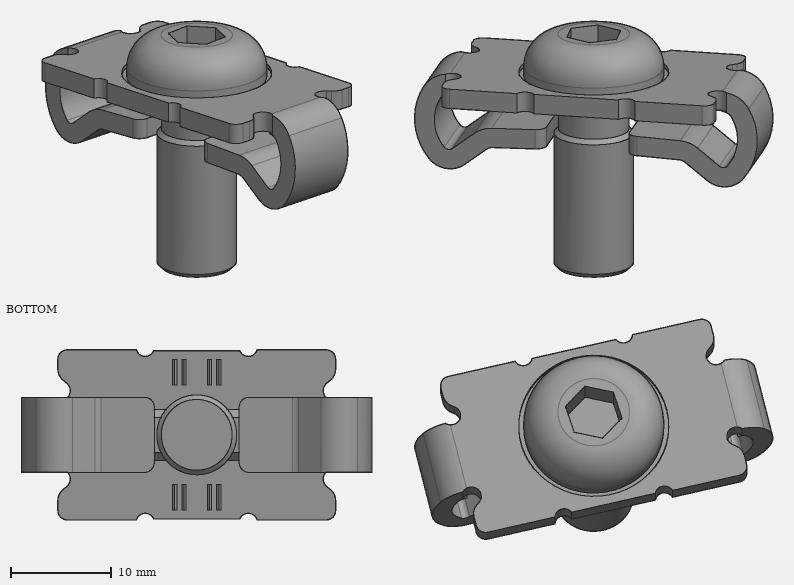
import cadquery as cq
import math


SHEET = 2.03
PLATE_LENGTH = 27.75
PLATE_WIDTH = 17.0
CORNER_RADIUS = 0.98
RECESS_RADIUS = 7.5
RECESS_DEPTH = 0.4

NICK_RADIUS = 0.9
NICK_OFFSET_X = 5.15
NICK_DEPTH = 0.65
EDGE_SETBACK = 0.1

NOTCH_RADIUS = 0.98
NOTCH_X = 13.6
NOTCH_Y = 4.4
SHOULDER_RADIUS = 1.47
SHOULDER_TURN = 45
SHOULDER_Y = 6.58

ARM_WIDTH = 7.5
ARM_REACH = 17.5
ARM_TIP_X = 4.25
TOP_BEND_RADIUS = 3.15
TOP_BEND_TURN = 60
SIDE_BEND_RADIUS = 6.55
SIDE_BEND_TURN = 69
LOWER_BEND_RADIUS = 2.62
LOWER_BEND_TURN = 89
RISER_LENGTH = 2.85
KNEE_RADIUS = 1.05
KNEE_TURN = 36

BAR_LENGTH = 11.95
BAR_WIDTH = 5.1
BAR_DEPTH = 0.8

RIDGE_HEIGHT = 0.2
RIDGE_POSITIONS_X = (-2.2, -1.25, 1.25, 2.2)
RIDGE_START_Y = 4.97
RIDGE_LENGTH = 2.55

HEAD_RADIUS = 7.0
HEAD_TOP = 4.0
DOME_RADIUS = 3.43
SHANK_RADIUS = 3.55
THREAD_RADIUS = 4.0
SCREW_CHAMFER = THREAD_RADIUS - SHANK_RADIUS
SCREW_BOTTOM = -20.4
THREAD_TOP = -5.9
HEX_ACROSS_FLATS = 5.0
HEX_DEPTH = 3.22
SCREW_TURN = 4

HALF_LENGTH = PLATE_LENGTH / 2
HALF_WIDTH = PLATE_WIDTH / 2


def plate_blank():
    """Plate with rounded corners, before the notches are cut."""
    return (
        cq.Workplane("XY")
        .rect(PLATE_LENGTH, PLATE_WIDTH)
        .extrude(-SHEET)
        .edges("|Z")
        .fillet(CORNER_RADIUS)
    )


def edge_nicks(side):
    """Cutter for the two nicks and the setback of the long edge at Y = side * HALF_WIDTH."""
    nick_y = side * (HALF_WIDTH - NICK_DEPTH + NICK_RADIUS)
    nicks = (
        cq.Workplane("XY")
        .pushPoints([(-NICK_OFFSET_X, nick_y), (NICK_OFFSET_X, nick_y)])
        .circle(NICK_RADIUS)
        .extrude(-SHEET)
    )
    setback = (
        cq.Workplane("XY")
        .center(0, side * HALF_WIDTH)
        .rect(2 * NICK_OFFSET_X, 2 * EDGE_SETBACK)
        .extrude(-SHEET)
    )
    return nicks.union(setback)


def end_notch():
    """Cutter for the relief notch at the +X, +Y corner: arm side, round notch and shoulder."""
    turn = math.radians(SHOULDER_TURN)
    half_turn = turn / 2
    shoulder_mid = (
        HALF_LENGTH - SHOULDER_RADIUS * (1 - math.cos(half_turn)),
        SHOULDER_Y - SHOULDER_RADIUS * math.sin(half_turn),
    )
    shoulder_end = (
        HALF_LENGTH - SHOULDER_RADIUS * (1 - math.cos(turn)),
        SHOULDER_Y - SHOULDER_RADIUS * math.sin(turn),
    )
    notch_start = (
        NOTCH_X - NOTCH_RADIUS * math.cos(turn),
        NOTCH_Y + NOTCH_RADIUS * math.sin(turn),
    )
    opening = (
        cq.Workplane("XY")
        .moveTo(HALF_LENGTH, SHOULDER_Y)
        .threePointArc(shoulder_mid, shoulder_end)
        .lineTo(*notch_start)
        .lineTo(NOTCH_X, NOTCH_Y)
        .lineTo(NOTCH_X, ARM_WIDTH / 2)
        .lineTo(HALF_LENGTH, ARM_WIDTH / 2)
        .close()
        .extrude(-SHEET)
    )
    round_notch = cq.Workplane("XY").center(NOTCH_X, NOTCH_Y).circle(NOTCH_RADIUS).extrude(-SHEET)
    return opening.union(round_notch)


def arm_root_x():
    """X where the arm leaves the flat plate, so that the loop just reaches ARM_REACH."""
    lean = math.radians(90 - TOP_BEND_TURN)
    bulge = (SIDE_BEND_RADIUS - TOP_BEND_RADIUS) * (1 - math.cos(lean))
    return ARM_REACH - TOP_BEND_RADIUS - bulge


def arm_stations():
    """Centreline of the +X arm as (x, z, heading) at the ends and the middle of each bend."""
    half = SHEET / 2
    x, z, heading = arm_root_x(), -half, 0.0
    stations = [(x, z, heading)]

    def bend(radius, degrees):
        nonlocal x, z, heading
        side = math.copysign(1, degrees)
        for _ in range(2):
            centre_x = x - side * radius * math.sin(heading)
            centre_z = z + side * radius * math.cos(heading)
            heading += math.radians(degrees) / 2
            x = centre_x + side * radius * math.sin(heading)
            z = centre_z - side * radius * math.cos(heading)
            stations.append((x, z, heading))

    bend(TOP_BEND_RADIUS - half, -TOP_BEND_TURN)
    bend(SIDE_BEND_RADIUS - half, -SIDE_BEND_TURN)
    bend(LOWER_BEND_RADIUS - half, -LOWER_BEND_TURN)
    x += RISER_LENGTH * math.cos(heading)
    z += RISER_LENGTH * math.sin(heading)
    stations.append((x, z, heading))
    bend(KNEE_RADIUS + half, KNEE_TURN)
    return stations


def sheet_face(offset):
    """Points of one face of the arm sheet, at the given offset to the left of the centreline."""
    points = [
        (x - offset * math.sin(heading), z + offset * math.cos(heading))
        for x, z, heading in arm_stations()
    ]
    end_x, end_z = points[-1]
    final_heading = arm_stations()[-1][2]
    tip = (ARM_TIP_X, end_z + (ARM_TIP_X - end_x) * math.tan(final_heading))
    return points + [tip]


def spring_arm():
    """Arm at the +X end, bent from the plate into a loop and back towards the screw."""
    root, top_mid, top_end, side_mid, side_end, low_mid, low_end, knee, knee_mid, knee_end, tip = (
        sheet_face(SHEET / 2)
    )
    (
        in_root, in_top_mid, in_top_end, in_side_mid, in_side_end, in_low_mid, in_low_end,
        in_knee, in_knee_mid, in_knee_end, in_tip,
    ) = sheet_face(-SHEET / 2)
    outline_start_x = HALF_LENGTH - CORNER_RADIUS
    arm = (
        cq.Workplane("XZ", origin=(0, ARM_WIDTH / 2, 0))
        .moveTo(outline_start_x, 0)
        .lineTo(*root)
        .threePointArc(top_mid, top_end)
        .threePointArc(side_mid, side_end)
        .threePointArc(low_mid, low_end)
        .lineTo(*knee)
        .threePointArc(knee_mid, knee_end)
        .lineTo(*tip)
        .lineTo(*in_tip)
        .lineTo(*in_knee_end)
        .threePointArc(in_knee_mid, in_knee)
        .lineTo(*in_low_end)
        .threePointArc(in_low_mid, in_side_end)
        .threePointArc(in_side_mid, in_top_end)
        .threePointArc(in_top_mid, in_root)
        .lineTo(outline_start_x, -SHEET)
        .close()
        .extrude(ARM_WIDTH)
    )
    return arm.edges("|Z").edges("<X").fillet(CORNER_RADIUS)


def locating_bar():
    """Bar under the plate, tapering at 45 degrees on all four sides."""
    return (
        cq.Workplane("XY", origin=(0, 0, -SHEET))
        .rect(BAR_LENGTH, BAR_WIDTH)
        .workplane(offset=-BAR_DEPTH)
        .rect(BAR_LENGTH - 2 * BAR_DEPTH, BAR_WIDTH - 2 * BAR_DEPTH)
        .loft(ruled=True)
    )


def ridge(x, start_y):
    """V ridge under the plate, running from start_y towards +Y."""
    return (
        cq.Workplane("XZ", origin=(x, start_y + RIDGE_LENGTH, -SHEET))
        .polyline([(-RIDGE_HEIGHT, 0), (RIDGE_HEIGHT, 0), (0, -RIDGE_HEIGHT)])
        .close()
        .extrude(RIDGE_LENGTH)
    )


def build_clip():
    clip = plate_blank()
    for side in (-1, 1):
        clip = clip.cut(edge_nicks(side))
    arm = spring_arm()
    clip = clip.union(arm).union(arm.mirror("YZ"))
    notch = end_notch()
    for cutter in (notch, notch.mirror("YZ")):
        clip = clip.cut(cutter).cut(cutter.mirror("XZ"))
    clip = clip.union(locating_bar())
    for x in RIDGE_POSITIONS_X:
        for start_y in (RIDGE_START_Y, -RIDGE_START_Y - RIDGE_LENGTH):
            clip = clip.union(ridge(x, start_y))
    recess = cq.Workplane("XY").circle(RECESS_RADIUS).extrude(-RECESS_DEPTH)
    bore = cq.Workplane("XY").circle(SHANK_RADIUS).extrude(-SHEET - BAR_DEPTH)
    return clip.cut(recess).cut(bore)


def build_screw():
    head = (
        cq.Workplane("XY", origin=(0, 0, -RECESS_DEPTH))
        .circle(HEAD_RADIUS)
        .extrude(HEAD_TOP + RECESS_DEPTH)
        .faces(">Z")
        .edges()
        .fillet(DOME_RADIUS)
    )
    shank = cq.Workplane("XY").circle(SHANK_RADIUS).extrude(THREAD_TOP)
    thread = (
        cq.Workplane("XY", origin=(0, 0, SCREW_BOTTOM))
        .circle(THREAD_RADIUS)
        .extrude(THREAD_TOP - SCREW_BOTTOM)
        .edges()
        .chamfer(SCREW_CHAMFER)
    )
    hex_across_corners = HEX_ACROSS_FLATS / math.cos(math.pi / 6)
    socket = (
        cq.Workplane("XY", origin=(0, 0, HEAD_TOP))
        .transformed(rotate=(0, 0, 90))
        .polygon(6, hex_across_corners)
        .extrude(-HEX_DEPTH)
    )
    screw = head.union(shank).union(thread).cut(socket)
    return screw.rotate((0, 0, 0), (0, 0, 1), SCREW_TURN)


clip = build_clip()
screw = build_screw()
result = cq.Compound.makeCompound([clip.val(), screw.val()])